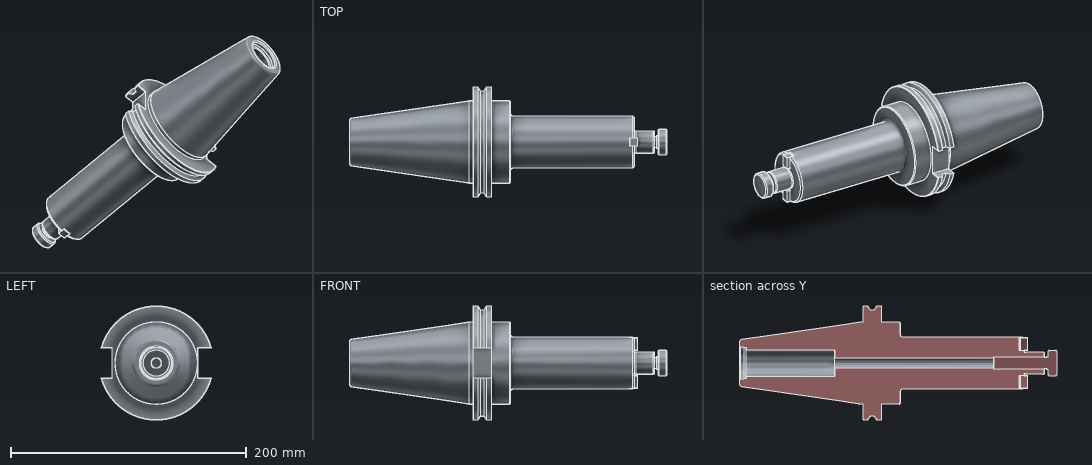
import cadquery as cq
TOTAL_LENGTH = 269.5
GAUGE_LINE = 101.6
FLANGE_START = 105.0
FLANGE_END = 120.8
COLLAR_END = 136.7
BODY_END = 241.8
NECK_END = 243.2
PILOT_END = 258.8
HEAD_START = 261.8

TAPER_RATIO = 7 / 24
GAUGE_DIA = 69.8
TAPER_END_ROUND = 2.5
COLLAR_DIA = 70.0
COLLAR_CHAMFER = 0.8
FLANGE_DIA = 97.0
FLANGE_EDGE_BREAK = 0.4
GROOVE_CENTER = 112.7
GROOVE_TOP_WIDTH = 7.5
GROOVE_BOTTOM_WIDTH = 3.2
GROOVE_DEPTH = 3.2
SLOT_WIDTH = 25.5
SLOT_FLOOR_FRONT = 35.3
SLOT_FLOOR_BACK = 37.7

BODY_DIA = 44.5
BODY_ROOT_FILLET = 2.2
BODY_END_CHAMFER_LENGTH = 1.5
BODY_END_CHAMFER_HEIGHT = 1.3
NECK_DIA = 18.5
PILOT_DIA = 19.1
PILOT_CHAMFER_LENGTH = 1.0
PILOT_CHAMFER_HEIGHT = 0.4

MOUTH_DIA = 28.8
COUNTERBORE_DIA = 26.7
COUNTERBORE_DEPTH = 3.8
RELIEF_DIA = 26.2
RELIEF_DEPTH = 5.7
BORE_DIA = 22.0
BORE_DEPTH = 81.0
THROUGH_DIA = 8.4

SCREW_DIA = 9.5
SCREW_START = 215.7
HEAD_DIA = 22.0
HEAD_CHAMFER = 1.0
HEAD_NECK_DIA = 11.0
HEAD_NECK_LENGTH = 1.0

KEY_WIDTH = 7.0
KEY_START = 238.3
KEY_END_GAP = 0.8
KEY_END = 244.5
KEY_INNER = 10.8
KEY_OUTER = 21.5


def revolve_profile(profile):
    """Turn a closed XY outline around the X axis."""
    return profile.close().revolve(360, (0, 0, 0), (1, 0, 0))


def bar(start, end, diameter):
    """Cylinder along the X axis."""
    return cq.Workplane("YZ", origin=(start, 0, 0)).circle(diameter / 2).extrude(end - start)


def block(start, end, y_range, z_range):
    """Box between two X stations and the given Y and Z limits."""
    size = (end - start, y_range[1] - y_range[0], z_range[1] - z_range[0])
    return cq.Workplane("XY").box(*size, centered=False).translate((start, y_range[0], z_range[0]))


def holder_outside():
    """Turned outside of the holder without its flange, from the taper to the pilot."""
    small_end_dia = GAUGE_DIA - TAPER_RATIO * GAUGE_LINE
    body_radius = BODY_DIA / 2
    fillet_top = body_radius + BODY_ROOT_FILLET
    fillet_end = COLLAR_END + BODY_ROOT_FILLET
    collar_radius = COLLAR_DIA / 2
    profile = (
        cq.Workplane("XY")
        .lineTo(0, small_end_dia / 2)
        .lineTo(GAUGE_LINE, GAUGE_DIA / 2)
        .lineTo(GAUGE_LINE, collar_radius)
        .lineTo(COLLAR_END - COLLAR_CHAMFER, collar_radius)
        .lineTo(COLLAR_END, collar_radius - COLLAR_CHAMFER)
        .lineTo(COLLAR_END, fillet_top)
        .radiusArc((fillet_end, body_radius), -BODY_ROOT_FILLET)
        .lineTo(BODY_END - BODY_END_CHAMFER_LENGTH, body_radius)
        .lineTo(BODY_END, body_radius - BODY_END_CHAMFER_HEIGHT)
        .lineTo(BODY_END, NECK_DIA / 2)
        .lineTo(NECK_END, NECK_DIA / 2)
        .lineTo(NECK_END, PILOT_DIA / 2)
        .lineTo(PILOT_END - PILOT_CHAMFER_LENGTH, PILOT_DIA / 2)
        .lineTo(PILOT_END, PILOT_DIA / 2 - PILOT_CHAMFER_HEIGHT)
        .lineTo(PILOT_END, 0)
    )
    return revolve_profile(profile).faces("<X").edges().fillet(TAPER_END_ROUND)


def flange_groove():
    """V-shaped gripper groove around the flange."""
    bottom_half = GROOVE_BOTTOM_WIDTH / 2
    top_half = GROOVE_TOP_WIDTH / 2
    top = FLANGE_DIA / 2
    bottom = top - GROOVE_DEPTH
    profile = (
        cq.Workplane("XY")
        .moveTo(GROOVE_CENTER - top_half, top)
        .lineTo(GROOVE_CENTER - bottom_half, bottom)
        .lineTo(GROOVE_CENTER + bottom_half, bottom)
        .lineTo(GROOVE_CENTER + top_half, top)
    )
    return revolve_profile(profile)


def flange_slots():
    """Two drive slots in the flange, the one on the +Y side being shallower."""
    half_width = (-SLOT_WIDTH / 2, SLOT_WIDTH / 2)
    front = block(FLANGE_START, FLANGE_END, (-FLANGE_DIA / 2, -SLOT_FLOOR_FRONT), half_width)
    back = block(FLANGE_START, FLANGE_END, (SLOT_FLOOR_BACK, FLANGE_DIA / 2), half_width)
    return front.union(back)


def make_flange():
    """Flange disc with drive slots, broken face edges and gripper groove."""
    flange = bar(FLANGE_START, FLANGE_END, FLANGE_DIA).cut(flange_slots())
    flange = flange.faces("<X or >X").edges("not |Z").chamfer(FLANGE_EDGE_BREAK)
    return flange.cut(flange_groove())


def drawbar_bore():
    """Stepped bore in the small end, with a countersunk mouth."""
    mouth_depth = (MOUTH_DIA - COUNTERBORE_DIA) / 2
    profile = (
        cq.Workplane("XY")
        .lineTo(0, MOUTH_DIA / 2)
        .lineTo(mouth_depth, COUNTERBORE_DIA / 2)
        .lineTo(COUNTERBORE_DEPTH, COUNTERBORE_DIA / 2)
        .lineTo(COUNTERBORE_DEPTH, RELIEF_DIA / 2)
        .lineTo(RELIEF_DEPTH, RELIEF_DIA / 2)
        .lineTo(RELIEF_DEPTH, BORE_DIA / 2)
        .lineTo(BORE_DEPTH, BORE_DIA / 2)
        .lineTo(BORE_DEPTH, 0)
    )
    return revolve_profile(profile)


def key_pocket(side):
    """Open pocket in the end of the body for the key on the given Z side."""
    z_range = sorted((side * KEY_INNER, side * BODY_DIA))
    return block(KEY_START - KEY_END_GAP, BODY_END, (-KEY_WIDTH / 2, KEY_WIDTH / 2), z_range)


def make_holder():
    holder = holder_outside().union(make_flange())
    holder = holder.cut(drawbar_bore())
    holder = holder.cut(bar(BORE_DEPTH, SCREW_START, THROUGH_DIA))
    holder = holder.cut(bar(SCREW_START, PILOT_END, SCREW_DIA))
    for side in (1, -1):
        holder = holder.cut(key_pocket(side))
    return holder


def make_screw():
    """Clamping screw with a round chamfered head."""
    shank = bar(SCREW_START, HEAD_START, SCREW_DIA)
    head_neck = bar(HEAD_START - HEAD_NECK_LENGTH, HEAD_START, HEAD_NECK_DIA)
    head = bar(HEAD_START, TOTAL_LENGTH, HEAD_DIA).edges().chamfer(HEAD_CHAMFER)
    return shank.union(head_neck).union(head)


def make_key(side):
    """Drive key on the given Z side, standing out of the end of the body."""
    z_range = sorted((side * KEY_INNER, side * KEY_OUTER))
    return block(KEY_START, KEY_END, (-KEY_WIDTH / 2, KEY_WIDTH / 2), z_range)


holder = make_holder()
screw = make_screw()
keys = [make_key(side) for side in (1, -1)]

result = cq.Compound.makeCompound([holder.val(), screw.val(), *[key.val() for key in keys]])